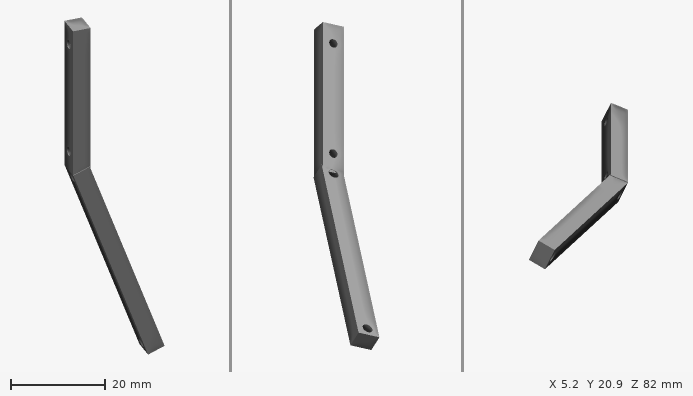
import cadquery as cq
import math

bar_width = 5.0
bar_depth = 4.0
side_offset = 0.2

total_height = 82.0

upper_hole_diameter = 2.0
upper_hole_inset = 4.5
upper_hole_pitch = 26.0

lower_length = 50.0
lean_angle = 20.0
lower_hole_diameter = 2.3
lower_hole_inset = 2.0

joint_height = lower_length * math.cos(math.radians(lean_angle))
upper_length = total_height - joint_height


def drilled_bar(length, hole_diameter, hole_heights):
    """Bar rising from Z = 0 with its front face on Y = 0, drilled front to back."""
    bar = cq.Workplane("XY").box(bar_width, bar_depth, length, centered=(True, False, False))
    hole_centers = [(0, height) for height in hole_heights]
    drills = (
        cq.Workplane("XZ")
        .pushPoints(hole_centers)
        .circle(hole_diameter / 2)
        .extrude(-bar_depth)
    )
    return bar.cut(drills)


top_hole_height = upper_length - upper_hole_inset
upper_bar = drilled_bar(
    upper_length,
    upper_hole_diameter,
    [top_hole_height - upper_hole_pitch, top_hole_height],
)

lower_bar = (
    drilled_bar(
        lower_length,
        lower_hole_diameter,
        [lower_hole_inset, lower_length - lower_hole_inset],
    )
    .translate((side_offset, 0, -lower_length))
    .rotate((0, 0, 0), (1, 0, 0), lean_angle)
)

result = upper_bar.union(lower_bar).translate((0, 0, joint_height))